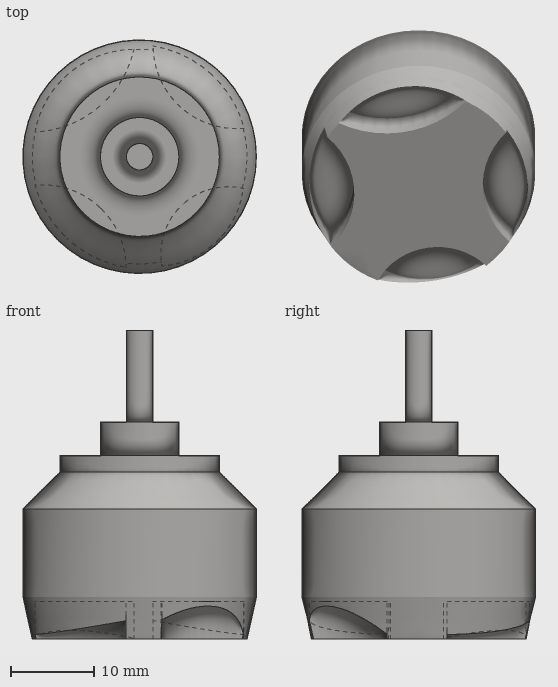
import cadquery as cq
import math

body_radius = 14.0
base_radius = 12.87
base_height = 5.0
body_top = 15.6
cap_radius = 19.11 / 2
shoulder_top = 20.0
cap_top = 22.0
boss_radius = 9.4 / 2
boss_top = 26.0
shaft_radius = 3.17 / 2
overall_height = 37.0

vent_depth = 4.5

vent_inner_radius = 7.7

left_front_vent = [(195.2, 0.55), (230, 1.05), (263.1, 2.2)]
right_front_vent = [(281.5, 2.3), (307, 3.95), (343, 0.55)]
left_rear_vent = [(93, 0.1), (133, 1.05), (166.8, 0.1)]
right_rear_vent = [(angle - 180, height) for angle, height in left_front_vent]


def polar(angle, radius):
    """Plan position at an angle in degrees and a distance from the axis."""
    theta = math.radians(angle)
    return (radius * math.cos(theta), radius * math.sin(theta))


def on_base(angle, height):
    """Plan position of a point on the tapered base wall."""
    taper = (body_radius - base_radius) / base_height
    return polar(angle, base_radius + taper * height)


def make_body():
    """Turned outline of base, body, shoulder, cap, boss and shaft."""
    return (
        cq.Workplane("XZ")
        .moveTo(0, 0)
        .lineTo(base_radius, 0)
        .lineTo(body_radius, base_height)
        .lineTo(body_radius, body_top)
        .lineTo(cap_radius, shoulder_top)
        .lineTo(cap_radius, cap_top)
        .lineTo(boss_radius, cap_top)
        .lineTo(boss_radius, boss_top)
        .lineTo(shaft_radius, boss_top)
        .lineTo(shaft_radius, overall_height)
        .lineTo(0, overall_height)
        .close()
        .revolve(360, (0, 0, 0), (0, 1, 0))
    )


def make_vent(break_points):
    """Upright cutter bounded by an outer arc and a concave inner arc."""
    start, middle, end = [on_base(angle, height) for angle, height in break_points]
    mid_angle = (break_points[0][0] + break_points[-1][0]) / 2
    return (
        cq.Workplane("XY")
        .moveTo(*start)
        .threePointArc(middle, end)
        .threePointArc(polar(mid_angle, vent_inner_radius), start)
        .close()
        .extrude(vent_depth)
    )


result = make_body()
for vent in (left_front_vent, right_front_vent, left_rear_vent, right_rear_vent):
    result = result.cut(make_vent(vent))